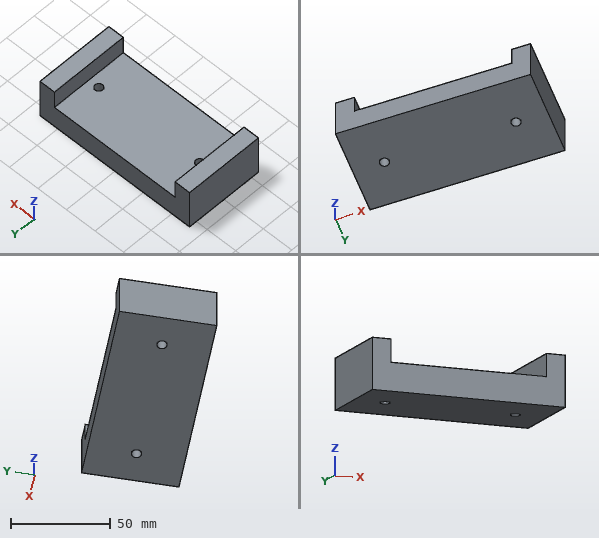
import cadquery as cq

length = 105.0
width = 50.0
height = 27.1

wall_thickness = 10.2
floor_thickness = 15.0
channel_length = length - 2 * wall_thickness

hole_diameter = 5.0
hole_spacing = 70.8


def make_cradle():
    """U-shaped block: a thick floor with a wall at each X end."""
    block = cq.Workplane("XY").box(length, width, height, centered=(True, True, False))
    channel = (
        cq.Workplane("XY")
        .workplane(offset=floor_thickness)
        .box(channel_length, width, height - floor_thickness, centered=(True, True, False))
    )
    return block.cut(channel)


def make_mounting_holes():
    """Pair of vertical holes on the long centreline."""
    return (
        cq.Workplane("XY")
        .pushPoints([(-hole_spacing / 2, 0), (hole_spacing / 2, 0)])
        .circle(hole_diameter / 2)
        .extrude(floor_thickness)
    )


result = make_cradle().cut(make_mounting_holes())